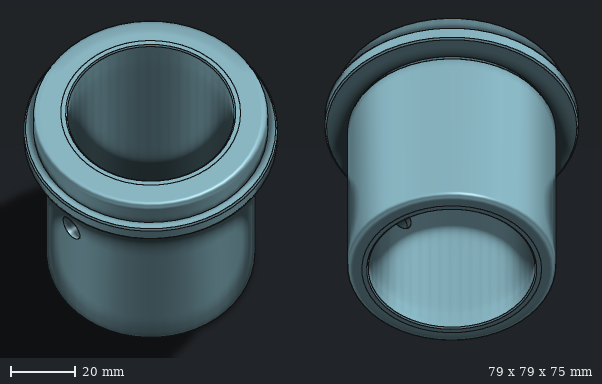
import cadquery as cq
import math

total_height = 75.0
flange_radius = 39.5
collar_radius = 36.5
barrel_radius = 32.5

flange_top = 67.05
flange_bottom = 62.0
flange_chamfer = 0.55
edge_round = 2.0

undercut_height = 2.0
undercut_depth = 0.95

liner_outer_radius = 27.95
liner_bore_radius = 26.0
liner_chamfer = 0.5

oil_hole_radius = 4.0
oil_hole_height = 43.0


def ring(outer_radius, bottom, top):
    """Solid disc on the Z axis between two heights."""
    return cq.Workplane("XY").workplane(offset=bottom).circle(outer_radius).extrude(top - bottom)


def oil_hole():
    """Radial drill running from the axis out through the -Y wall."""
    return (
        cq.Workplane("XZ")
        .center(0, oil_hole_height)
        .circle(oil_hole_radius)
        .extrude(flange_radius)
    )


def undercut():
    """Relief ring below the flange: vertical at the flange, curving outward to the barrel below."""
    root_radius = barrel_radius - undercut_depth
    arc_radius = (undercut_depth**2 + undercut_height**2) / (2 * undercut_depth)
    half_angle = math.asin(undercut_height / arc_radius) / 2
    arc_middle = (
        root_radius + arc_radius * (1 - math.cos(half_angle)),
        flange_bottom - arc_radius * math.sin(half_angle),
    )
    profile = (
        cq.Workplane("XZ")
        .moveTo(barrel_radius, flange_bottom)
        .lineTo(root_radius, flange_bottom)
        .threePointArc(arc_middle, (barrel_radius, flange_bottom - undercut_height))
        .close()
    )
    return profile.revolve(360, (0, 0), (0, 1))


def make_housing():
    barrel = ring(barrel_radius, 0, flange_bottom).faces("<Z").edges().fillet(edge_round)
    flange = ring(flange_radius, flange_bottom, flange_top).edges().chamfer(flange_chamfer)
    collar = ring(collar_radius, flange_top, total_height).faces(">Z").edges().fillet(edge_round)
    bore = ring(liner_outer_radius, 0, total_height)
    return barrel.cut(undercut()).union(flange).union(collar).cut(bore).cut(oil_hole())


def make_liner():
    tube = ring(liner_outer_radius, 0, total_height).cut(ring(liner_bore_radius, 0, total_height))
    bore_edges = cq.selectors.RadiusNthSelector(0)
    return tube.edges(bore_edges).chamfer(liner_chamfer).cut(oil_hole())


housing = make_housing()
liner = make_liner()

result = cq.Compound.makeCompound([housing.val(), liner.val()])